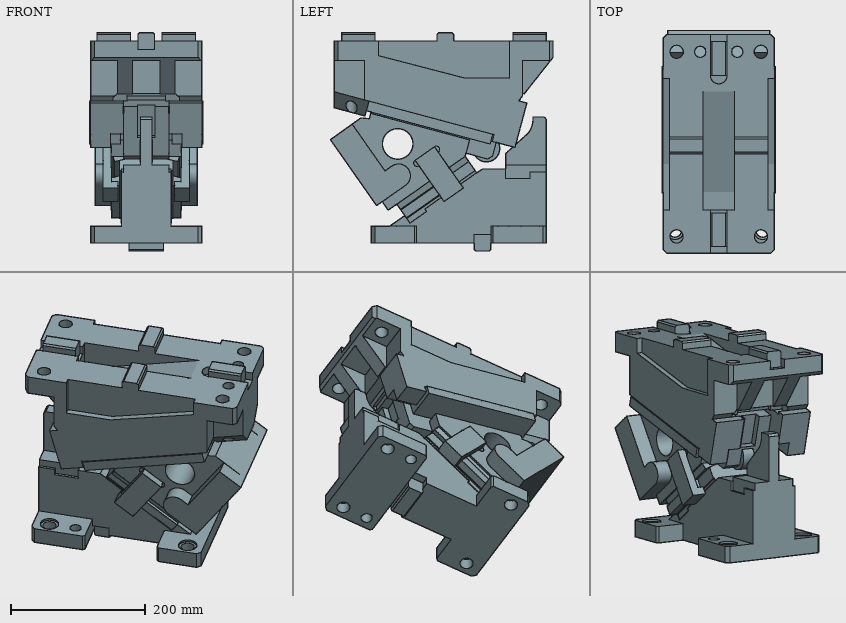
import cadquery as cq
import math


GUIDE_ANGLE = math.radians(15)
RAM_ANGLE = math.radians(35)
GUIDE_ORIGIN = (263.2, 210.5)
RAM_ORIGIN = (158.8, 67.4)

PLATE_HALF = 82.5
CORNER = 5.5
BOLT_X = 62.5
BOLT_DIA = 19.5
DOWEL_DIA = 16.5
KEY_WIDTH = 25.0
KEY_LENGTH = 50.0
KEY_RISE = 12.0
KEY_DEPTH = 13.0
KEY_EDGE = 2.5


def guide(along, above):
    """Y, Z of a point measured down the guide slope and square to it."""
    y = GUIDE_ORIGIN[0] - along * math.cos(GUIDE_ANGLE) - above * math.sin(GUIDE_ANGLE)
    z = GUIDE_ORIGIN[1] - along * math.sin(GUIDE_ANGLE) + above * math.cos(GUIDE_ANGLE)
    return y, z


def ram(along, above):
    """Y, Z of a point measured up the ram slope and square to it."""
    y = RAM_ORIGIN[0] - along * math.cos(RAM_ANGLE) + above * math.sin(RAM_ANGLE)
    z = RAM_ORIGIN[1] + along * math.sin(RAM_ANGLE) + above * math.cos(RAM_ANGLE)
    return y, z


def slab(points, x_from, x_to):
    """A Y-Z outline extruded between two X positions."""
    return cq.Workplane("YZ", origin=(x_from, 0, 0)).polyline(points).close().extrude(x_to - x_from)


def centred_slab(points, half_width):
    return slab(points, -half_width, half_width)


def both_sides(points, x_inner, x_outer):
    """The same slab on the left and on the right."""
    return slab(points, x_inner, x_outer).union(slab(points, -x_outer, -x_inner))


def rectangle(frame, along_from, along_to, low, high):
    """Corner points of a rectangle in one of the sloped frames."""
    return [frame(along_from, low), frame(along_to, low), frame(along_to, high), frame(along_from, high)]


def block(x_from, x_to, y_from, y_to, z_from, z_to):
    size = (x_to - x_from, y_to - y_from, z_to - z_from)
    return cq.Workplane("XY").box(*size, centered=False).translate((x_from, y_from, z_from))


def upright_bores(positions, diameter, z_from, z_to):
    bores = cq.Workplane("XY", origin=(0, 0, z_from)).pushPoints(positions)
    return bores.circle(diameter / 2).extrude(z_to - z_from)


def ram_section(points, along_from, along_to):
    """A cross-section (X, height above the ram slope) swept along the ram slope."""
    y, z = ram(along_from, 0)
    up_slope = (0, -math.cos(RAM_ANGLE), math.sin(RAM_ANGLE))
    plane = cq.Plane(origin=(0, y, z), xDir=(1, 0, 0), normal=up_slope)
    return cq.Workplane(plane).polyline(points).close().extrude(along_to - along_from)


def guide_section(points, along_from, along_to):
    """A cross-section (X, height above the guide slope) swept down the guide slope."""
    y, z = guide(along_from, 0)
    up_slope = (0, math.cos(GUIDE_ANGLE), math.sin(GUIDE_ANGLE))
    plane = cq.Plane(origin=(0, y, z), xDir=(-1, 0, 0), normal=up_slope)
    return cq.Workplane(plane).polyline(points).close().extrude(along_from - along_to)



HOLDER_FRONT = -10.0
HOLDER_REAR = 315.0
HOLDER_TOP = 300.0
PLATE_UNDERSIDE = 270.5
FRONT_EDGE_LOW = 275.5
STRIP_LENGTH = 190.0
STRIP_THICKNESS = 15.0
STRIP_INNER = 38.5
STRIP_OUTER = 84.5
HOOK_START = 192.0
HOOK_NECK = 214.5
HOOK_END = 227.0
HOOK_BOTTOM = -10.5
HOOK_TOP = 58.0
HOOK_NOTCH_TOP = 10.5
HOOK_NOTCH_X = 53.0
CHANNEL_HALF = 34.0
CHANNEL_TOP = 54.0
MOUTH_START = 200.0
MOUTH_HALF = 49.0
MOUTH_TOP = 70.0
MOUTH_CORNER = 6.0
RECESS_START = 195.0
RECESS_HALF = 28.7
RECESS_TOP = 61.5
REAR_KEEL = 23.0
FLANK_LENGTH = 70.0
REAR_HALF = 42.5
REAR_INSET_Y = 270.0
BODY_FRONT = 35.5
KEEL_REAR_Z = GUIDE_ORIGIN[1] + (HOLDER_REAR - GUIDE_ORIGIN[0]) * math.tan(GUIDE_ANGLE)
RIB_INNER = 20.5
RIB_OUTER = REAR_HALF
REAR_BOLT_Y = 289.0
FRONT_BOLT_Y = 15.0
DOWEL_X = 27.5
POCKET_FRONT = 54.5
POCKET_HALF = 23.2
POCKET_DEPTH = 40.0
POCKET_REAR = 230.0
SIDE_POCKET_X = 73.3
SIDE_POCKET_REAR = 249.5
SIDE_POCKET_FLAT = 122.5
SIDE_POCKET_START = 22.0
SIDE_POCKET_DEPTH = 55.0
FRONT_KEY_Y = 0.0
REAR_KEY_Y = 254.0
CROSS_KEY_Y = 137.5
CROSS_KEY_INNER = POCKET_HALF
CROSS_KEY_OUTER = SIDE_POCKET_X


def front_slope_y(z):
    """Y of the sloping front of the holder at a given height."""
    neck_y, neck_z = guide(HOOK_NECK, HOOK_TOP)
    return neck_y + (HOLDER_FRONT - neck_y) * (z - neck_z) / (FRONT_EDGE_LOW - neck_z)


def holder_plate():
    outline = [
        (HOLDER_REAR, HOLDER_TOP),
        (HOLDER_FRONT, HOLDER_TOP),
        (HOLDER_FRONT, FRONT_EDGE_LOW),
        (front_slope_y(PLATE_UNDERSIDE), PLATE_UNDERSIDE),
        (HOLDER_REAR, PLATE_UNDERSIDE),
    ]
    return centred_slab(outline, PLATE_HALF).edges("|Z").chamfer(CORNER)


def holder_body():
    """Wedge below the plate, recessed beside its front ribs and its rear part."""
    outline = [
        (HOLDER_REAR, PLATE_UNDERSIDE),
        (front_slope_y(PLATE_UNDERSIDE), PLATE_UNDERSIDE),
        guide(HOOK_NECK, HOOK_TOP),
        guide(HOOK_NECK, 0),
        guide(0, 0),
        (HOLDER_REAR, KEEL_REAR_Z),
    ]
    body = centred_slab(outline, PLATE_HALF)
    for x_from, x_to in ((-PLATE_HALF, -RIB_OUTER), (-RIB_INNER, RIB_INNER), (RIB_OUTER, PLATE_HALF)):
        body = body.cut(block(x_from, x_to, HOLDER_FRONT, BODY_FRONT, 0, PLATE_UNDERSIDE))
    for x_from, x_to in ((-PLATE_HALF, -REAR_HALF), (REAR_HALF, PLATE_HALF)):
        body = body.cut(block(x_from, x_to, REAR_INSET_Y, HOLDER_REAR, 0, PLATE_UNDERSIDE))
    return body


def rear_keel():
    """Block below the rear of the holder, with 45 degree flanks."""
    drop = REAR_KEEL / math.cos(GUIDE_ANGLE)
    outline = [
        guide(0, 0),
        guide(0, -REAR_KEEL),
        (HOLDER_REAR, KEEL_REAR_Z - drop),
        (HOLDER_REAR, KEEL_REAR_Z),
    ]
    keel = centred_slab(outline, PLATE_HALF)
    for side in (-1, 1):
        flank = [
            (side * REAR_HALF, 0),
            (side * PLATE_HALF, 0),
            (side * PLATE_HALF, -REAR_KEEL),
            (side * (REAR_HALF - REAR_KEEL), -REAR_KEEL),
        ]
        keel = keel.cut(guide_section(flank, -FLANK_LENGTH, 0))
    return keel


def hooks():
    """Front end stops that close off the strips."""
    outline = [
        guide(HOOK_START, HOOK_BOTTOM),
        guide(HOOK_END, HOOK_BOTTOM),
        guide(HOOK_END, HOOK_TOP),
        guide(HOOK_NECK, HOOK_TOP),
        guide(HOOK_NECK, 0),
        guide(HOOK_START, 0),
    ]
    return both_sides(outline, CHANNEL_HALF, PLATE_HALF)


def tongue_channel():
    """Channel for the slide's tongue, wider at strip level and notched into the hooks."""
    channel = centred_slab(rectangle(guide, 0, HOOK_END, -STRIP_THICKNESS, CHANNEL_TOP), CHANNEL_HALF)
    wide = rectangle(guide, 0, HOOK_END, -STRIP_THICKNESS, HOOK_NOTCH_TOP)
    notch = rectangle(guide, STRIP_LENGTH, HOOK_END, -STRIP_THICKNESS, HOOK_NOTCH_TOP)
    return channel.union(centred_slab(wide, STRIP_INNER)).union(centred_slab(notch, HOOK_NOTCH_X))


def channel_mouth():
    """Wider opening at the front end of the tongue channel, above the hooks."""
    section = [
        (-MOUTH_HALF, CHANNEL_TOP),
        (-MOUTH_HALF, MOUTH_TOP - MOUTH_CORNER),
        (MOUTH_CORNER - MOUTH_HALF, MOUTH_TOP),
        (MOUTH_HALF - MOUTH_CORNER, MOUTH_TOP),
        (MOUTH_HALF, MOUTH_TOP - MOUTH_CORNER),
        (MOUTH_HALF, CHANNEL_TOP),
    ]
    mouth = guide_section(section, MOUTH_START, HOOK_END)
    recess = rectangle(guide, RECESS_START, HOOK_END, CHANNEL_TOP, RECESS_TOP)
    return mouth.union(centred_slab(recess, RECESS_HALF))


def side_pockets():
    outline = [
        (POCKET_FRONT, HOLDER_TOP),
        (SIDE_POCKET_REAR, HOLDER_TOP),
        (SIDE_POCKET_REAR, HOLDER_TOP - SIDE_POCKET_START),
        (SIDE_POCKET_FLAT, HOLDER_TOP - SIDE_POCKET_DEPTH),
        (POCKET_FRONT, HOLDER_TOP - SIDE_POCKET_DEPTH),
    ]
    return both_sides(outline, SIDE_POCKET_X, PLATE_HALF)


def centre_pocket():
    flat_start = POCKET_REAR - POCKET_DEPTH / math.tan(GUIDE_ANGLE)
    outline = [
        (POCKET_FRONT, HOLDER_TOP),
        (POCKET_REAR, HOLDER_TOP),
        (flat_start, HOLDER_TOP - POCKET_DEPTH),
        (POCKET_FRONT, HOLDER_TOP - POCKET_DEPTH),
    ]
    return centred_slab(outline, POCKET_HALF)


def long_key(y_from):
    half = KEY_WIDTH / 2
    key = block(-half, half, y_from, y_from + KEY_LENGTH, HOLDER_TOP - KEY_DEPTH, HOLDER_TOP + KEY_RISE)
    return key.edges("|Y and >Z").chamfer(KEY_EDGE)


def cross_key(x_from, x_to):
    key = block(x_from, x_to, CROSS_KEY_Y, CROSS_KEY_Y + KEY_WIDTH, HOLDER_TOP, HOLDER_TOP + KEY_RISE)
    return key.edges("|X and >Z").chamfer(KEY_EDGE)


def key_slots():
    half = KEY_WIDTH / 2
    floor = HOLDER_TOP - KEY_DEPTH
    rear = block(-half, half, REAR_KEY_Y, HOLDER_REAR, floor, HOLDER_TOP)
    rear_end = upright_bores([(0, REAR_KEY_Y)], KEY_WIDTH, floor, HOLDER_TOP)
    front = block(-half, half, HOLDER_FRONT, POCKET_FRONT, floor, HOLDER_TOP)
    return rear.union(rear_end).union(front)


def make_holder():
    body = holder_plate().union(holder_body()).union(rear_keel())
    body = body.cut(channel_mouth())
    body = body.union(hooks())
    strip = rectangle(guide, 0, STRIP_LENGTH, -STRIP_THICKNESS, 0)
    body = body.union(both_sides(strip, STRIP_INNER, STRIP_OUTER))
    body = body.cut(tongue_channel())
    body = body.cut(side_pockets()).cut(centre_pocket()).cut(key_slots())
    bolts = [(x, y) for x in (-BOLT_X, BOLT_X) for y in (FRONT_BOLT_Y, REAR_BOLT_Y)]
    dowels = [(x, REAR_BOLT_Y) for x in (-DOWEL_X, DOWEL_X)]
    body = body.cut(upright_bores(bolts, BOLT_DIA, 0, HOLDER_TOP))
    body = body.cut(upright_bores(dowels, DOWEL_DIA, 0, HOLDER_TOP))
    for y_from in (FRONT_KEY_Y, REAR_KEY_Y):
        body = body.union(long_key(y_from))
    for x_from, x_to in ((-CROSS_KEY_OUTER, -CROSS_KEY_INNER), (CROSS_KEY_INNER, CROSS_KEY_OUTER)):
        body = body.union(cross_key(x_from, x_to))
    return body



RAIL_START = -57.5
RAIL_END = 66.5
RAIL_WIDE_END = 26.5
RAIL_HALF = 51.2
RAIL_NARROW_HALF = 39.4
RAIL_BOTTOM = 3.5
RAIL_NARROW_BOTTOM = 2.4
SILL_HALF = 37.8
SILL_BOTTOM = -1.5
SILL_LIP_BOTTOM = -6.0
SILL_LIP_END = -27.4
EAVE = 18.8
EAVE_HALF = 47.0
ROOF_ANGLE = math.radians(15)
RIDGE = EAVE + EAVE_HALF * math.tan(ROOF_ANGLE)


def roof_at(x):
    """Height of the roof-shaped rail top at a distance from the middle."""
    return RIDGE - x * math.tan(ROOF_ANGLE)



SLIDE_HALF = 52.0
SLIDE_TOP = -17.0
SLIDE_BOTTOM = 28.2
SLIDE_BACK = -73.0
SLIDE_FRONT = 159.0
CREST_REAR = (-5.2, -27.0)
CREST_FRONT_HEIGHT = -25.0
NOSE_END = 198.0
NOSE_BOTTOM = -37.5
NOSE_CORNER = 6.0
TONGUE_START = 7.0
TONGUE_HALF = 33.5
TONGUE_TOP = 44.5
ROLLER_AT = (186.3, -22.8)
ROLLER_RADIUS = 20.0
ROLLER_HALF = 9.3
SLOT_HALF = 12.7
SLOT_DEPTH = 10.0
CROSS_BORE_YZ = (220.7, 147.0)
CROSS_BORE_DIA = 45.0
LUG_HALF = 76.0
LUG_BACK = -83.29
LUG_FACE = -43.5
LUG_BOTTOM = 43.7
LUG_TOP = 163.3
LUG_FOOT_HEIGHT = 35.0
LUG_FOOT_END = -31.0
CLAMP_START = 2.2
CLAMP_END = 37.2
CLAMP_BOTTOM = -8.8
CLAMP_TOP = 66.0
CLAMP_OUTER = 64.0
CLAMP_HOOK_INNER = 42.0
CLAMP_HOOK_TOP = 3.0
RELIEF_RADIUS = 5.0
RELIEF_DEPTH = 0.8


def slide_core():
    outline = [
        guide(TONGUE_START, SLIDE_TOP),
        guide(SLIDE_FRONT, SLIDE_TOP),
        ram(RAIL_END, SLIDE_BOTTOM),
        ram(SLIDE_BACK, SLIDE_BOTTOM),
        ram(SLIDE_BACK, LUG_TOP),
        guide(*CREST_REAR),
        guide(TONGUE_START, CREST_FRONT_HEIGHT),
    ]
    return centred_slab(outline, SLIDE_HALF)


def tongue():
    """Middle block with a forward nose, slotted at the front above its roller."""
    outline = [
        guide(TONGUE_START, TONGUE_TOP),
        guide(NOSE_END, TONGUE_TOP),
        guide(NOSE_END, NOSE_BOTTOM + NOSE_CORNER),
        guide(NOSE_END - NOSE_CORNER, NOSE_BOTTOM),
        guide(SLIDE_FRONT, NOSE_BOTTOM),
        guide(SLIDE_FRONT, SLIDE_TOP),
        guide(TONGUE_START, SLIDE_TOP),
    ]
    roller_top = ROLLER_AT[1] + ROLLER_RADIUS
    slot = rectangle(guide, NOSE_END - SLOT_DEPTH, NOSE_END, roller_top, TONGUE_TOP)
    body = centred_slab(outline, TONGUE_HALF).cut(centred_slab(slot, SLOT_HALF))
    y, z = guide(*ROLLER_AT)
    roller = cq.Workplane("YZ", origin=(0, y, z)).circle(ROLLER_RADIUS).extrude(ROLLER_HALF, both=True)
    return body.union(roller)


def back_lug():
    """Full-width back plate with round-ended feet."""
    wall = rectangle(ram, LUG_BACK, LUG_FACE, LUG_BOTTOM, LUG_TOP)
    foot = rectangle(ram, LUG_BACK, LUG_FOOT_END, LUG_BOTTOM, LUG_BOTTOM + LUG_FOOT_HEIGHT)
    y, z = ram(LUG_FOOT_END, LUG_BOTTOM + LUG_FOOT_HEIGHT / 2)
    toe = cq.Workplane("YZ", origin=(0, y, z)).circle(LUG_FOOT_HEIGHT / 2).extrude(LUG_HALF, both=True)
    return centred_slab(wall, LUG_HALF).union(centred_slab(foot, LUG_HALF)).union(toe)


def clamps():
    """Side straps that hook under the base rail."""
    leg = rectangle(ram, CLAMP_START, CLAMP_END, CLAMP_BOTTOM, CLAMP_TOP)
    hook = rectangle(ram, CLAMP_START, CLAMP_END, CLAMP_BOTTOM, CLAMP_HOOK_TOP)
    legs = both_sides(leg, SLIDE_HALF - RELIEF_DEPTH, CLAMP_OUTER)
    return legs.union(both_sides(hook, CLAMP_HOOK_INNER, CLAMP_OUTER))


def clamp_reliefs():
    """Shallow round reliefs beside the upper clamp corners."""
    height = CLAMP_TOP - RELIEF_RADIUS
    points = [ram(along, height) for along in (CLAMP_START, CLAMP_END)]
    reliefs = cq.Workplane("XY")
    for x in (-SLIDE_HALF, SLIDE_HALF - RELIEF_DEPTH):
        plane = cq.Workplane("YZ", origin=(x, 0, 0))
        reliefs = reliefs.add(plane.pushPoints(points).circle(RELIEF_RADIUS).extrude(RELIEF_DEPTH))
    return reliefs.combine()


def shoe():
    """Sole of the slide, drafted on its sides."""
    top_half = EAVE_HALF + (SLIDE_BOTTOM - EAVE) * math.tan(ROOF_ANGLE)
    section = [(-top_half, SLIDE_BOTTOM), (-EAVE_HALF, EAVE), (EAVE_HALF, EAVE), (top_half, SLIDE_BOTTOM)]
    return ram_section(section, RAIL_START, RAIL_END)


def make_slide():
    body = slide_core().union(back_lug()).cut(clamp_reliefs())
    body = body.union(tongue()).union(shoe())
    roof = [(-EAVE_HALF, EAVE), (0, RIDGE), (EAVE_HALF, EAVE)]
    body = body.cut(ram_section(roof, LUG_BACK, RAIL_END))
    body = body.union(clamps())
    y, z = CROSS_BORE_YZ
    bore = cq.Workplane("YZ", origin=(0, y, z)).circle(CROSS_BORE_DIA / 2).extrude(LUG_HALF, both=True)
    return body.cut(bore)



BASE_LENGTH = 260.0
FOOT_HEIGHT = 25.0
FRONT_FOOT_END = 82.5
REAR_FOOT_START = 193.0
FOOT_INNER_CORNER = 3.0
BODY_HALF = 37.0
BODY_RIDGE = 7.7
LEDGE_Z = 110.0
LEDGE_REAR = 94.6
POST_REAR = 60.6
SHOULDER_HALF = 33.4
SHOULDER_Z = 116.0
SHOULDER_CUT_Z = 105.0
SHOULDER_CUT_LOW_Z = 95.6
SHOULDER_CUT_STEP = 24.5
POST_HALF = 8.8
POST_TOP = 187.0
POST_EDGE = 3.5
POST_CREST = 20.0
POST_RAMP_TOP = (26.7, 163.5)
POST_CURVE_MID = (21.8, 173.5)
POST_RAMP_LOW_Z = 132.8
FOOT_BOLT_X = 65.0
FOOT_BOLT_YS = (24.0, 236.0)
FOOT_DOWEL_Y = 64.0
COUNTERBORE_DIA = 27.0
COUNTERBORE_DEPTH = 3.0
BASE_KEY_HALF = 25.8


def base_body():
    slope_foot = RAM_ORIGIN[1] + BODY_RIDGE / math.cos(RAM_ANGLE) - FOOT_HEIGHT
    outline = [
        (0, 0),
        (0, SHOULDER_CUT_Z),
        (SHOULDER_CUT_STEP, SHOULDER_CUT_Z),
        (SHOULDER_CUT_STEP, SHOULDER_CUT_LOW_Z),
        (POST_REAR, SHOULDER_CUT_LOW_Z),
        (POST_REAR, LEDGE_Z),
        (LEDGE_REAR, LEDGE_Z),
        ram(RAIL_END, SILL_BOTTOM),
        ram(RAIL_END, BODY_RIDGE),
        (RAM_ORIGIN[0] + slope_foot / math.tan(RAM_ANGLE), FOOT_HEIGHT),
        (BASE_LENGTH, FOOT_HEIGHT),
        (BASE_LENGTH, 0),
    ]
    body = centred_slab(outline, BODY_HALF)
    return body.union(block(-SHOULDER_HALF, SHOULDER_HALF, 0, POST_REAR, SHOULDER_CUT_LOW_Z, SHOULDER_Z))


def base_rail():
    def half_roof(half, bottom):
        right = [(half, bottom), (half, roof_at(half)), (0, RIDGE)]
        left = [(-x, height) for x, height in reversed(right[:2])]
        return right + left

    rail = ram_section(half_roof(RAIL_HALF, RAIL_BOTTOM), RAIL_START, RAIL_WIDE_END)
    rail = rail.union(ram_section(half_roof(RAIL_NARROW_HALF, RAIL_NARROW_BOTTOM), RAIL_START, RAIL_END))
    rail = rail.union(ram_section(half_roof(SILL_HALF, SILL_BOTTOM), RAIL_START, RAIL_END))
    return rail.union(ram_section(half_roof(SILL_HALF, SILL_LIP_BOTTOM), RAIL_START, SILL_LIP_END))


def post():
    outline = (
        cq.Workplane("YZ", origin=(-POST_HALF, 0, 0))
        .moveTo(0, SHOULDER_Z)
        .lineTo(0, POST_TOP - POST_EDGE)
        .lineTo(POST_EDGE, POST_TOP)
        .lineTo(POST_CREST, POST_TOP)
        .threePointArc(POST_CURVE_MID, POST_RAMP_TOP)
        .lineTo(POST_REAR, POST_RAMP_LOW_Z)
        .lineTo(POST_REAR, SHOULDER_Z)
        .close()
    )
    return outline.extrude(2 * POST_HALF)


def foot(y_from, y_to, outer_side, inner_side):
    plate = block(-PLATE_HALF, PLATE_HALF, y_from, y_to, 0, FOOT_HEIGHT)
    plate = plate.edges("|Z").edges(outer_side).chamfer(CORNER)
    return plate.edges("|Z").edges(inner_side).chamfer(FOOT_INNER_CORNER)


def make_base():
    body = base_body().union(base_rail()).union(post())
    body = body.union(foot(0, FRONT_FOOT_END, "<Y", ">Y"))
    body = body.union(foot(REAR_FOOT_START, BASE_LENGTH, ">Y", "<Y"))
    bolts = [(x, y) for x in (-FOOT_BOLT_X, FOOT_BOLT_X) for y in FOOT_BOLT_YS]
    dowels = [(x, FOOT_DOWEL_Y) for x in (-FOOT_BOLT_X, FOOT_BOLT_X)]
    body = body.cut(upright_bores(bolts, BOLT_DIA, 0, FOOT_HEIGHT))
    body = body.cut(upright_bores(bolts, COUNTERBORE_DIA, FOOT_HEIGHT - COUNTERBORE_DEPTH, FOOT_HEIGHT))
    body = body.cut(upright_bores(dowels, DOWEL_DIA, 0, FOOT_HEIGHT))
    key_rear = FRONT_FOOT_END + KEY_WIDTH
    body = body.cut(block(-BODY_HALF, BODY_HALF, FRONT_FOOT_END, key_rear, 0, KEY_DEPTH))
    key = block(-BASE_KEY_HALF, BASE_KEY_HALF, FRONT_FOOT_END, key_rear, -KEY_RISE, KEY_DEPTH)
    return body.union(key.edges("|X and <Z").chamfer(KEY_EDGE))


holder = make_holder()
slide = make_slide()
base = make_base()

result = cq.Compound.makeCompound([part.solids().val() for part in (holder, slide, base)])